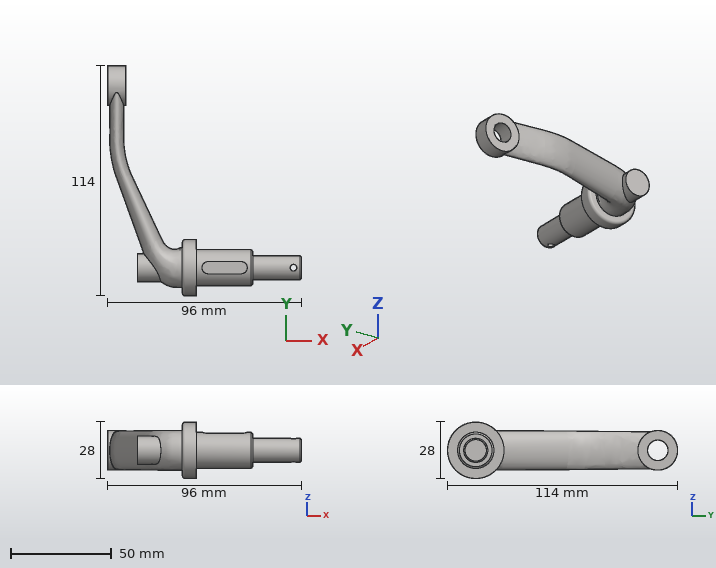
import cadquery as cq
import math

flange_diameter = 28.0
flange_length = 7.0
flange_fillet = 1.5
body_diameter = 18.0
body_length = 28.0
body_chamfer = 0.9
tip_diameter = 12.0
tip_length = 24.0
tip_chamfer = 0.7
body_end = flange_length + body_length
shaft_end = body_end + tip_length

key_length = 22.5
key_width = 6.0
key_depth = 3.0
key_center = flange_length + body_length / 2
pin_diameter = 3.2
pin_inset = 4.0

peg_diameter = 14.0
peg_reach = 22.2

eye_diameter = 19.7
eye_bore = 10.0
eye_width = 9.0
overall_x = 96.0
eye_left = overall_x - shaft_end
eye_x = eye_width / 2 - eye_left
overall_y = 114
eye_y = overall_y - (flange_diameter + eye_diameter) / 2

neck_diameter = 19.8
arm_tip_thickness = 7.1
arm_tip_height = 18.5
neck_section = (-1.1, 0, 180, neck_diameter, neck_diameter)
lower_arm_start = (-15.2, 12.2, 113, 10.8, 19.6)
lower_arm_end = (-28.6, 44.6, 113, 7.5, 19.3)
upper_arm_start = (eye_x, 64.0, 90, arm_tip_thickness, 18.8)
upper_arm_end = (eye_x, eye_y, 90, arm_tip_thickness, arm_tip_height)
shoulder_bend = [
    neck_section,
    (-7.1, 1.4, 152, 17.8, 19.8),
    (-12.8, 7.3, 121, 12.3, 19.7),
    lower_arm_start,
]
elbow_bend = [
    lower_arm_end,
    (-31.5, 54.0, 102, 7.3, 19.0),
    upper_arm_start,
]


def rod(start, length, diameter):
    """Cylinder on the shaft axis, growing toward +X."""
    return cq.Workplane("YZ").workplane(offset=start).circle(diameter / 2).extrude(length)


def section_wire(x, y, heading, thickness, height):
    """Elliptical cross-section standing square to the arm's heading."""
    angle = math.radians(heading)
    normal = cq.Vector(math.cos(angle), math.sin(angle), 0)
    center = cq.Vector(x, y, 0)
    upright = cq.Vector(0, 0, 1)
    return cq.Wire.makeEllipse(height / 2, thickness / 2, center, normal, upright)


def make_shaft():
    flange = rod(0, flange_length, flange_diameter).faces("<X").edges().fillet(flange_fillet)
    body = rod(flange_length, body_length, body_diameter).faces(">X").chamfer(body_chamfer)
    tip = rod(body_end, tip_length, tip_diameter).faces(">X").chamfer(tip_chamfer)
    keyway = (
        cq.Workplane("XY", origin=(key_center, 0, body_diameter / 2 - key_depth))
        .slot2D(key_length, key_width)
        .extrude(body_diameter)
    )
    pin_hole = (
        cq.Workplane("XY", origin=(shaft_end - pin_inset, 0, 0))
        .circle(pin_diameter / 2)
        .extrude(tip_diameter, both=True)
    )
    return flange.union(body).union(tip).cut(keyway).cut(pin_hole)


def loft_sections(sections, straight=False):
    wires = [section_wire(*section) for section in sections]
    return cq.Workplane(obj=cq.Solid.makeLoft(wires, straight))


def make_arm():
    neck = rod(neck_section[0], -neck_section[0], neck_diameter)
    lower_arm = loft_sections([lower_arm_start, lower_arm_end], straight=True)
    upper_arm = loft_sections([upper_arm_start, upper_arm_end], straight=True)
    return (
        neck.union(loft_sections(shoulder_bend))
        .union(lower_arm)
        .union(loft_sections(elbow_bend))
        .union(upper_arm)
    )


def make_eye(diameter):
    return (
        cq.Workplane("YZ", origin=(-eye_left, eye_y, 0))
        .circle(diameter / 2)
        .extrude(eye_width)
    )


peg = rod(-peg_reach, peg_reach, peg_diameter)
result = make_shaft().union(make_arm()).union(peg).union(make_eye(eye_diameter)).cut(make_eye(eye_bore))